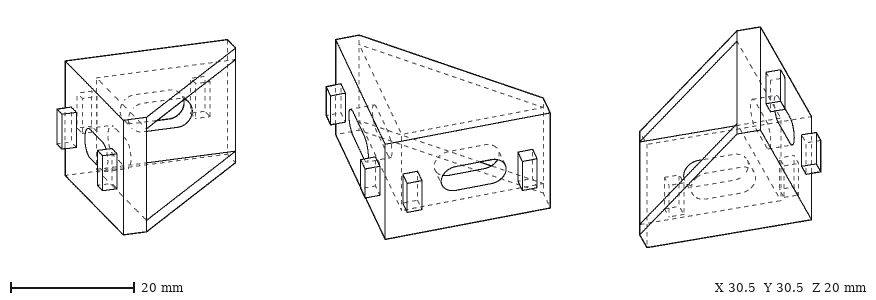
import cadquery as cq

overall_size = 30.5
height = 20.0
tab_depth = 2.5
leg_length = overall_size - tab_depth
leg_end_width = 4.0

wall_thickness = 4.0
plate_thickness = 2.0

slot_length = 11.0
slot_width = 5.0
slot_center = 15.0

tab_width = 2.5
tab_height = 6.1
tab_starts = (3.0, 22.5)

mid_height = height / 2


def mirror_legs(shape):
    """Swap the X and Y legs by reflecting in the plane x = y."""
    return shape.mirror("XZ").rotate((0, 0, 0), (0, 0, 1), 90)


def make_body():
    """Right-angle prism with both sharp ends cut square."""
    outline = [
        (0, 0),
        (leg_length, 0),
        (leg_length, leg_end_width),
        (leg_end_width, leg_length),
        (0, leg_length),
    ]
    return cq.Workplane("XY").polyline(outline).close().extrude(height)


def make_cavity():
    """Pocket open to the sloping side, reaching beyond the body."""
    cavity_height = height - 2 * plate_thickness
    return (
        cq.Workplane("XY")
        .box(leg_length, leg_length, cavity_height, centered=False)
        .translate((wall_thickness, wall_thickness, plate_thickness))
    )


def make_slot():
    """Slot cutter through the wall that lies along X."""
    return (
        cq.Workplane("XZ")
        .center(slot_center, mid_height)
        .slot2D(slot_length, slot_width)
        .extrude(-leg_length)
    )


def make_tab(start):
    """Tab standing out of the mounting face that lies along X."""
    return (
        cq.Workplane("XY")
        .box(tab_width, tab_depth, tab_height, centered=False)
        .translate((start, -tab_depth, mid_height - tab_height / 2))
    )


slot = make_slot()
result = make_body().cut(make_cavity()).cut(slot).cut(mirror_legs(slot))
for tab_start in tab_starts:
    tab = make_tab(tab_start)
    result = result.union(tab).union(mirror_legs(tab))